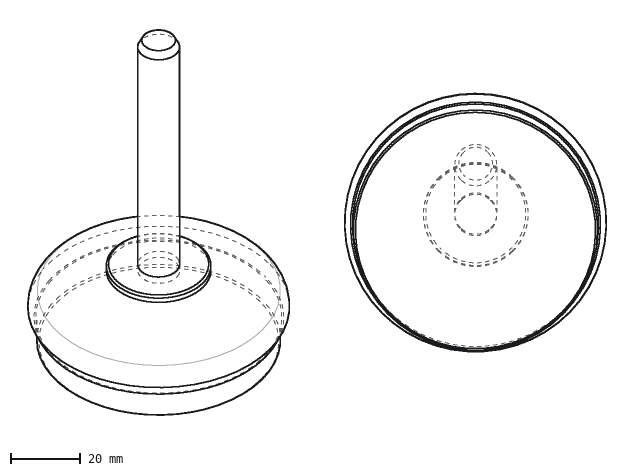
import cadquery as cq

total_height = 109.5
pad_height = 8.8
rim_height = 12.5
shoulder_height = 18.5
cap_height = 25.8
washer_top = 28.0

pad_top_radius = 35.3
pad_bottom_radius = 34.9
pad_chamfer = 0.5

cap_bottom_radius = 35.8
rim_radius = 75.0 / 2
shoulder_radius = 34.8

washer_radius = 30.0 / 2
washer_chamfer = 0.7

stud_radius = 12.0 / 2
stud_tip_radius = 9.6 / 2
stud_tip_length = 2.4


def make_pad():
    """Tapered disc that stands on the floor, with a chamfered lower edge."""
    pad = (
        cq.Workplane("XZ")
        .lineTo(pad_bottom_radius, 0)
        .lineTo(pad_top_radius, pad_height)
        .lineTo(0, pad_height)
        .close()
        .revolve(360, (0, 0), (0, 1))
    )
    return pad.faces("<Z").edges().chamfer(pad_chamfer)


def make_cap():
    """Dome with a flared skirt, a rounded rim and a flat washer seat."""
    return (
        cq.Workplane("XZ")
        .moveTo(0, cap_height)
        .lineTo(washer_radius, cap_height)
        .tangentArcPoint((shoulder_radius, shoulder_height), relative=False)
        .tangentArcPoint((rim_radius, rim_height), relative=False)
        .lineTo(cap_bottom_radius, pad_height)
        .lineTo(0, pad_height)
        .close()
        .revolve(360, (0, 0), (0, 1))
    )


def make_washer():
    """Flat ring on the cap, bored to take the stud, with a chamfered upper rim."""
    disc = (
        cq.Workplane("XY", origin=(0, 0, cap_height))
        .circle(washer_radius)
        .extrude(washer_top - cap_height)
        .faces(">Z")
        .edges()
        .chamfer(washer_chamfer)
    )
    return disc.faces("<Z").workplane().hole(2 * stud_radius)


def make_stud():
    """Plain round stud that passes through the washer, with a tapered tip."""
    stud = (
        cq.Workplane("XY", origin=(0, 0, cap_height))
        .circle(stud_radius)
        .extrude(total_height - cap_height)
    )
    return stud.faces(">Z").edges().chamfer(stud_tip_length, stud_radius - stud_tip_radius)


pad = make_pad()
cap = make_cap()
washer = make_washer()
stud = make_stud()

result = cq.Compound.makeCompound([pad.val(), cap.val(), washer.val(), stud.val()])